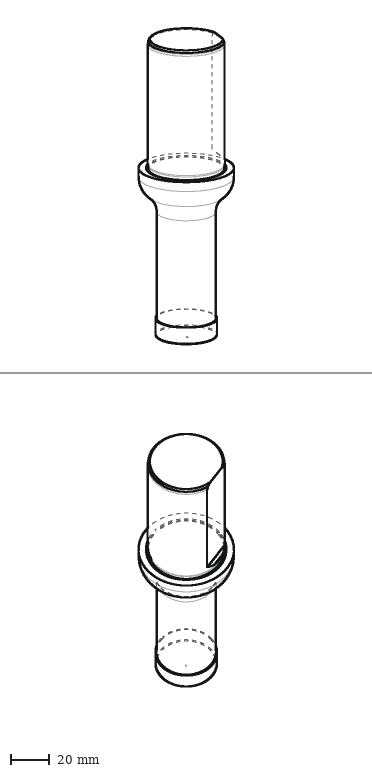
import cadquery as cq

TOTAL_LENGTH = 162.0
HEAD_HEIGHT = 10.0
HEAD_CORNER_HEIGHT = 0.8
NECK_TOP = 68.0
FLANGE_TOP = 92.0
FLANGE_RIM_HEIGHT = 5.0

HEAD_DIAMETER = 32.0
HEAD_CORNER = 0.5
NECK_DIAMETER = 30.8
FLANGE_DIAMETER = 49.5
SHANK_DIAMETER = 40.0
RELIEF_DIAMETER = 39.5

RELIEF_HEIGHT = 1.3
RELIEF_TAPER = 0.8
GROOVE_DIAMETER = 41.8
GROOVE_DEPTH = 0.5
TOP_BAND_HEIGHT = 2.9
TOP_STEP_HEIGHT = 2.0
TOP_CHAMFER_HEIGHT = 1.1
TOP_FACE_DIAMETER = 37.7

FLAT_DISTANCE = 18.0
FLAT_BOTTOM = 95.7
FLAT_RUNOUT = 1.6

FLARE_MIDDLE_HEIGHT = 77.3


def make_cutting_head():
    """Short cylinder with a bevelled corner and a shallow domed tip."""
    radius = HEAD_DIAMETER / 2
    dome_edge = radius - HEAD_CORNER
    dome_middle = HEAD_CORNER_HEIGHT / 4
    return (
        cq.Workplane("XZ")
        .moveTo(0, 0)
        .threePointArc((dome_edge / 2, dome_middle), (dome_edge, HEAD_CORNER_HEIGHT))
        .lineTo(radius, HEAD_CORNER_HEIGHT + HEAD_CORNER)
        .lineTo(radius, HEAD_HEIGHT)
        .lineTo(0, HEAD_HEIGHT)
        .close()
        .revolve(360, (0, 0, 0), (0, 1, 0))
    )


def make_turned_holder():
    """Neck, flared flange and shank as one turned profile."""
    neck = NECK_DIAMETER / 2
    flange = FLANGE_DIAMETER / 2
    shank = SHANK_DIAMETER / 2
    relief = RELIEF_DIAMETER / 2
    groove = GROOVE_DIAMETER / 2
    rim_bottom = FLANGE_TOP - FLANGE_RIM_HEIGHT
    flare_share = (FLARE_MIDDLE_HEIGHT - NECK_TOP) / (rim_bottom - NECK_TOP)
    flare_middle = neck + flare_share * (flange - neck)
    relief_top = FLANGE_TOP + RELIEF_HEIGHT
    return (
        cq.Workplane("XZ")
        .moveTo(0, TOTAL_LENGTH)
        .lineTo(TOP_FACE_DIAMETER / 2, TOTAL_LENGTH)
        .lineTo(relief, TOTAL_LENGTH - TOP_CHAMFER_HEIGHT)
        .lineTo(relief, TOTAL_LENGTH - TOP_STEP_HEIGHT)
        .lineTo(shank, TOTAL_LENGTH - TOP_BAND_HEIGHT)
        .lineTo(shank, relief_top + RELIEF_TAPER)
        .lineTo(relief, relief_top)
        .lineTo(relief, FLANGE_TOP - GROOVE_DEPTH)
        .lineTo(groove - GROOVE_DEPTH, FLANGE_TOP - GROOVE_DEPTH)
        .lineTo(groove, FLANGE_TOP)
        .lineTo(flange, FLANGE_TOP)
        .lineTo(flange, rim_bottom)
        .tangentArcPoint((flare_middle, FLARE_MIDDLE_HEIGHT), relative=False)
        .tangentArcPoint((neck, NECK_TOP), relative=False)
        .lineTo(neck, HEAD_HEIGHT)
        .lineTo(0, HEAD_HEIGHT)
        .close()
        .revolve(360, (0, 0, 0), (0, 1, 0))
    )


def make_flat_cutter():
    """Block that mills the flat, with a sloped run-out at its lower end."""
    outside = SHANK_DIAMETER
    return (
        cq.Workplane("YZ")
        .moveTo(FLAT_DISTANCE, TOTAL_LENGTH)
        .lineTo(FLAT_DISTANCE, FLAT_BOTTOM + FLAT_RUNOUT)
        .lineTo(FLAT_DISTANCE + FLAT_RUNOUT, FLAT_BOTTOM)
        .lineTo(outside, FLAT_BOTTOM)
        .lineTo(outside, TOTAL_LENGTH)
        .close()
        .extrude(SHANK_DIAMETER / 2, both=True)
    )


cutting_head = make_cutting_head()
holder = make_turned_holder().cut(make_flat_cutter())

result = cq.Compound.makeCompound([holder.val(), cutting_head.val()])